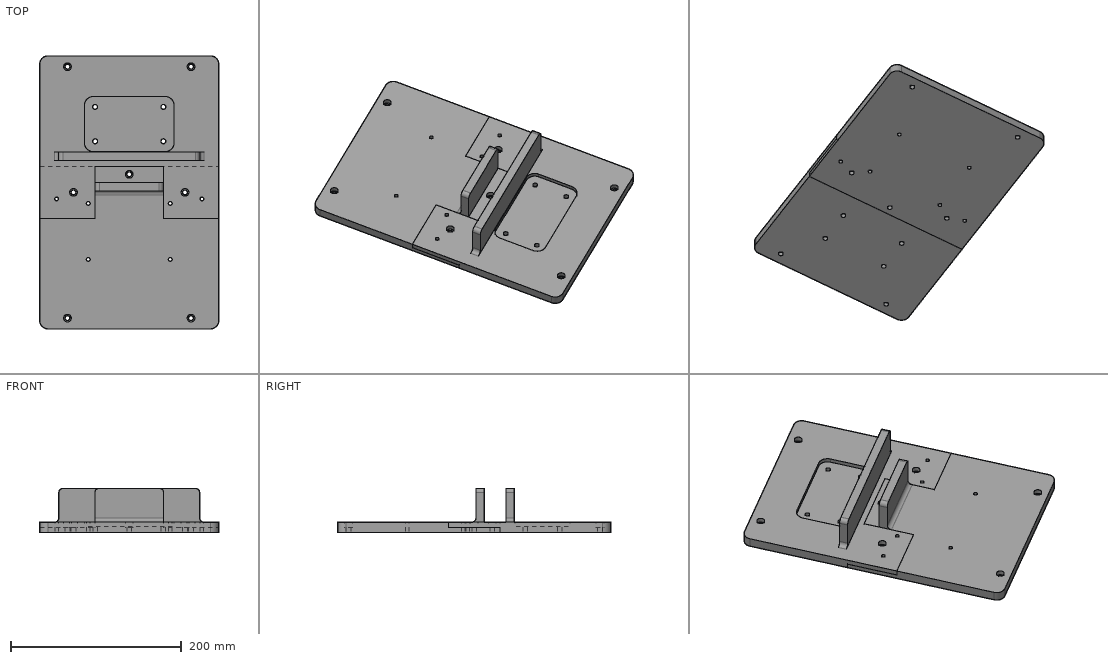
import cadquery as cq

WIDTH = 210.0
LENGTH = 320.0
PLATE_THICKNESS = 12.0
OVERALL_HEIGHT = 52.0
CORNER_RADIUS = 10.0

LAP_LENGTH = 60.8
LAP_REAR = LAP_LENGTH / 2
LAP_FRONT = -LAP_LENGTH / 2
LAP_LEVEL = 5.8
TONGUE_WIDTH = 80.3

WALL_THICKNESS = 10.0
WALL_ROUND = 5.0
FOOT_FILLET = 5.0
REAR_WALL_WIDTH = 165.0
REAR_WALL_FRONT = 37.0
FRONT_WALL_FRONT = 2.0

POCKET_WIDTH = 105.3
POCKET_LENGTH = 64.5
POCKET_CENTER_Y = 80.0
POCKET_DEPTH = 5.0
POCKET_CORNER_RADIUS = 11.0

SCREW_DIAMETER = 5.5
SCREW_HEAD_DIAMETER = 9.0
SCREW_HEAD_DEPTH = 6.0
CORNER_SCREW_X = 72.3
CORNER_SCREW_Y = 147.2
LAP_SCREW_X = 65.3
LAP_SCREW_Y = 0.0
TONGUE_SCREW_Y = 21.0

POCKET_HOLE_DIAMETER = 5.5
POCKET_HOLE_X = 40.0
POCKET_HOLE_PITCH_Y = 40.3

OUTER_HOLE_DIAMETER = 4.0
OUTER_HOLE_X = 85.0
OUTER_HOLE_Y = -7.7
INNER_HOLE_DIAMETER = 4.0
INNER_HOLE_X = 48.0
INNER_HOLE_REAR_Y = -12.8
INNER_HOLE_FRONT_Y = -78.5


def mirrored(x, y):
    """The point and its mirror image across the YZ plane."""
    return [(x, y), (-x, y)]


def block(width, y_min, y_max, z_min, z_max):
    """A box centred on X = 0 between the given Y and Z limits."""
    return (
        cq.Workplane("XY")
        .box(width, y_max - y_min, z_max - z_min, centered=(True, False, False))
        .translate((0, y_min, z_min))
    )


def full_plate():
    """The rounded outline that both plates share."""
    return block(WIDTH, -LENGTH / 2, LENGTH / 2, 0, PLATE_THICKNESS).edges("|Z").fillet(CORNER_RADIUS)


def front_region():
    """The space of the front plate: full height ahead of the joint, lower lap and raised tongue."""
    body = block(WIDTH, -LENGTH / 2, LAP_FRONT, 0, PLATE_THICKNESS)
    lap = block(WIDTH, LAP_FRONT, LAP_REAR, 0, LAP_LEVEL)
    tongue = block(TONGUE_WIDTH, LAP_FRONT, LAP_REAR, 0, PLATE_THICKNESS)
    return body.union(lap).union(tongue)


def wall(width, y_front):
    """An upright plate with rounded top corners."""
    upright = block(width, y_front, y_front + WALL_THICKNESS, PLATE_THICKNESS, OVERALL_HEIGHT)
    return upright.edges("|Y and >Z").fillet(WALL_ROUND)


def foot_profile(plane):
    """Concave fillet section with its corner at the origin of the plane."""
    middle = FOOT_FILLET * (1 - 0.5 ** 0.5)
    return (
        cq.Workplane(plane)
        .lineTo(FOOT_FILLET, 0)
        .threePointArc((middle, middle), (0, FOOT_FILLET))
        .close()
    )


def rear_wall():
    """Wide wall with a fillet at the foot of each end."""
    upright = wall(REAR_WALL_WIDTH, REAR_WALL_FRONT)
    corner = (REAR_WALL_WIDTH / 2, REAR_WALL_FRONT, PLATE_THICKNESS)
    foot = foot_profile("XZ").extrude(-WALL_THICKNESS).translate(corner)
    return upright.union(foot).union(foot.mirror("YZ"))


def front_wall():
    """Narrow wall on the tongue with a fillet along the foot of its front face."""
    upright = wall(TONGUE_WIDTH, FRONT_WALL_FRONT)
    corner = (-TONGUE_WIDTH / 2, FRONT_WALL_FRONT, PLATE_THICKNESS)
    front_facing = cq.Plane(origin=corner, xDir=(0, -1, 0), normal=(-1, 0, 0))
    foot = foot_profile(front_facing).extrude(-TONGUE_WIDTH)
    return upright.union(foot)


def pocket():
    """Rounded recess sunk into the top of the rear plate."""
    y_min = POCKET_CENTER_Y - POCKET_LENGTH / 2
    y_max = POCKET_CENTER_Y + POCKET_LENGTH / 2
    recess = block(POCKET_WIDTH, y_min, y_max, PLATE_THICKNESS - POCKET_DEPTH, PLATE_THICKNESS)
    return recess.edges("|Z").fillet(POCKET_CORNER_RADIUS)


def drill(part, diameter, points):
    """Cut plain holes through the plate thickness."""
    return part.cut(cq.Workplane("XY").pushPoints(points).circle(diameter / 2).extrude(PLATE_THICKNESS))


def drill_screws(part, points):
    """Cut counterbored screw holes from the top face."""
    heads = (
        cq.Workplane("XY", origin=(0, 0, PLATE_THICKNESS))
        .pushPoints(points)
        .circle(SCREW_HEAD_DIAMETER / 2)
        .extrude(-SCREW_HEAD_DEPTH)
    )
    return drill(part, SCREW_DIAMETER, points).cut(heads)


lap_screws = mirrored(LAP_SCREW_X, LAP_SCREW_Y)
tongue_screw = [(0, TONGUE_SCREW_Y)]
outer_holes = mirrored(OUTER_HOLE_X, OUTER_HOLE_Y)
inner_holes = mirrored(INNER_HOLE_X, INNER_HOLE_REAR_Y)


def make_rear_plate():
    """Rear plate with its upper lap, wide wall and recess."""
    pocket_holes = []
    for side in (-1, 1):
        pocket_holes += mirrored(POCKET_HOLE_X, POCKET_CENTER_Y + side * POCKET_HOLE_PITCH_Y / 2)

    plate = full_plate().cut(front_region()).union(rear_wall()).cut(pocket())
    plate = drill_screws(plate, mirrored(CORNER_SCREW_X, CORNER_SCREW_Y) + lap_screws)
    plate = drill(plate, POCKET_HOLE_DIAMETER, pocket_holes)
    plate = drill(plate, OUTER_HOLE_DIAMETER, outer_holes)
    return drill(plate, INNER_HOLE_DIAMETER, inner_holes)


def make_front_plate():
    """Front plate with its lower lap, full-height tongue and narrow wall."""
    plate = full_plate().intersect(front_region()).union(front_wall())
    plate = drill_screws(plate, mirrored(CORNER_SCREW_X, -CORNER_SCREW_Y) + tongue_screw)
    plate = drill(plate, SCREW_DIAMETER, lap_screws)
    plate = drill(plate, OUTER_HOLE_DIAMETER, outer_holes)
    return drill(plate, INNER_HOLE_DIAMETER, inner_holes + mirrored(INNER_HOLE_X, INNER_HOLE_FRONT_Y))


rear_plate = make_rear_plate()
front_plate = make_front_plate()

result = cq.Compound.makeCompound([rear_plate.val(), front_plate.val()])